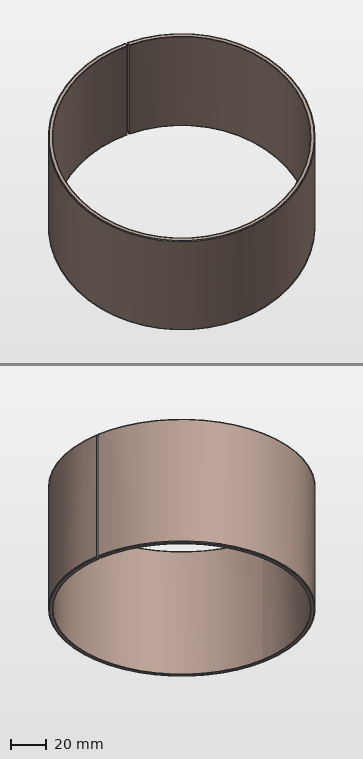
import cadquery as cq
import math

outer_diameter = 150.0
wall_thickness = 2.5
height = 80.0
outer_chamfer = 0.5
inner_chamfer = 0.2
slit_angle = 1.0

outer_radius = outer_diameter / 2
inner_radius = outer_radius - wall_thickness


def make_sleeve():
    """Thin ring standing on the XY plane, revolved from its chamfered wall section."""
    wall_section = (
        cq.Workplane("XZ")
        .moveTo(inner_radius, inner_chamfer)
        .lineTo(inner_radius + inner_chamfer, 0)
        .lineTo(outer_radius - outer_chamfer, 0)
        .lineTo(outer_radius, outer_chamfer)
        .lineTo(outer_radius, height - outer_chamfer)
        .lineTo(outer_radius - outer_chamfer, height)
        .lineTo(inner_radius + inner_chamfer, height)
        .lineTo(inner_radius, height - inner_chamfer)
        .close()
    )
    return wall_section.revolve(360, (0, 0, 0), (0, 1, 0))


def make_slit():
    """Full-height wedge from the -X axis round towards +Y, giving the slit radial faces."""
    reach = 2 * outer_radius
    wedge_rise = reach * math.tan(math.radians(slit_angle))
    return (
        cq.Workplane("XY")
        .moveTo(0, 0)
        .lineTo(-reach, 0)
        .lineTo(-reach, wedge_rise)
        .close()
        .extrude(height)
    )


result = make_sleeve().cut(make_slit())